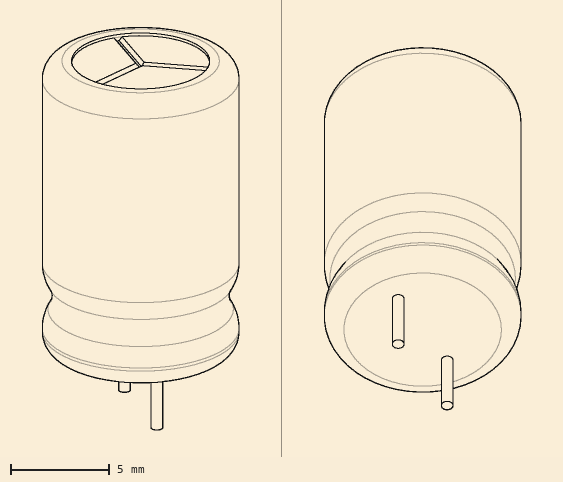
import cadquery as cq
import math

total_height = 19.3
can_radius = 5.0
can_bottom = 3.3
rim_radius = 1.0

crimp_center = 6.3
throat_half_height = 0.75
shoulder_height = 1.06
crimp_depth = 0.5

recess_diameter = 7.0
recess_depth = 0.15
score_width = 0.45
score_floor_width = 0.12
score_depth = 0.2
score_count = 3
first_score_angle = 60.0

lead_diameter = 0.6
lead_spacing = 5.0


def make_can():
    """Revolve the can outline about Z."""
    crimp_half_height = throat_half_height + shoulder_height
    half_sweep = math.atan(crimp_depth / crimp_half_height)
    blend_radius = can_radius - shoulder_height * math.tan(half_sweep)
    sweep = 2 * half_sweep
    shoulder_arc = shoulder_height / math.sin(sweep)
    mid_drop = shoulder_arc * (1 - math.cos(half_sweep))
    mid_rise = shoulder_arc * math.sin(half_sweep)

    rim_center = can_radius - rim_radius
    rim_mid = rim_center + rim_radius * math.sqrt(0.5)
    rim_mid_inset = rim_radius * (1 - math.sqrt(0.5))
    crimp_bottom = crimp_center - crimp_half_height
    crimp_top = crimp_center + crimp_half_height

    outline = (
        cq.Workplane("XZ")
        .moveTo(0, can_bottom)
        .lineTo(rim_center, can_bottom)
        .threePointArc((rim_mid, can_bottom + rim_mid_inset), (can_radius, can_bottom + rim_radius))
        .lineTo(can_radius, crimp_bottom)
        .threePointArc(
            (can_radius - mid_drop, crimp_bottom + mid_rise),
            (blend_radius, crimp_center - throat_half_height),
        )
        .threePointArc(
            (can_radius - crimp_depth, crimp_center),
            (blend_radius, crimp_center + throat_half_height),
        )
        .threePointArc((can_radius - mid_drop, crimp_top - mid_rise), (can_radius, crimp_top))
        .lineTo(can_radius, total_height - rim_radius)
        .threePointArc((rim_mid, total_height - rim_mid_inset), (rim_center, total_height))
        .lineTo(0, total_height)
        .close()
    )
    return outline.revolve(360, (0, 0, 0), (0, 1, 0))


def make_vent():
    """Recess and score lines, as one cutting body."""
    recess_radius = recess_diameter / 2
    recess_floor = total_height - recess_depth
    vent = cq.Workplane("XY").workplane(offset=recess_floor).circle(recess_radius).extrude(recess_depth)
    score = (
        cq.Workplane("YZ")
        .moveTo(-score_width / 2, recess_floor)
        .lineTo(-score_floor_width / 2, recess_floor - score_depth)
        .lineTo(score_floor_width / 2, recess_floor - score_depth)
        .lineTo(score_width / 2, recess_floor)
        .close()
        .extrude(recess_radius)
    )
    vent_limit = (
        cq.Workplane("XY").workplane(offset=recess_floor - score_depth)
        .circle(recess_radius).extrude(recess_depth + score_depth)
    )
    score = score.intersect(vent_limit)
    for i in range(score_count):
        angle = first_score_angle + i * 360 / score_count
        vent = vent.union(score.rotate((0, 0, 0), (0, 0, 1), angle))
    return vent


def make_leads():
    """Two straight leads below the can, in line along X."""
    return (
        cq.Workplane("XY")
        .pushPoints([(-lead_spacing / 2, 0), (lead_spacing / 2, 0)])
        .circle(lead_diameter / 2)
        .extrude(can_bottom)
    )


result = make_can().cut(make_vent()).union(make_leads())